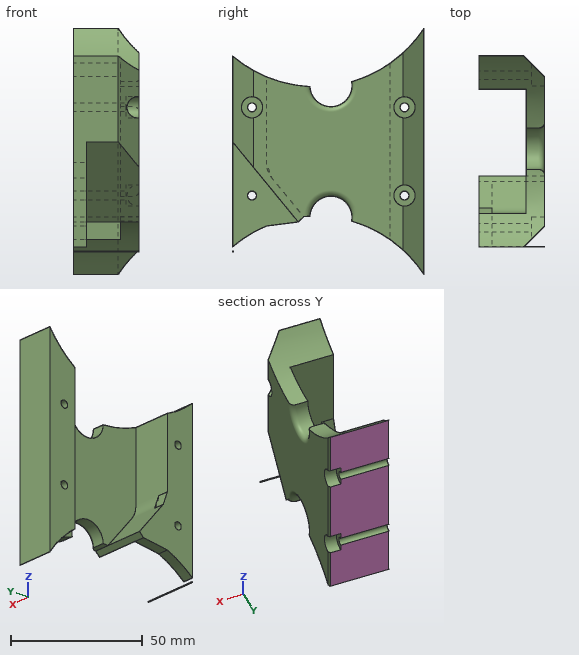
import cadquery as cq
import math

depth = 25.0
width = 72.7
height = 93.6

flange_width = 12.8
web_thickness = 7.0
edge_chamfer = 8.0
web_inner_x = depth - web_thickness

end_arc_radius = 48.95
end_arc_y = 31.7
end_arc_z = height / 2 + math.sqrt(end_arc_radius**2 - (width - end_arc_y) ** 2)

notch_radius = 8.0
notch_y = width / 2 + 1.0
notch_z = 25.0
notch_rim_radius = 2.15

hole_diameter = 3.3
hole_edge_distance = 7.4
hole_z = 16.75
counterbore_diameter = 8.05
counterbore_floor_x = 20.0

plate_thickness = 5.0
slant_slope = 1.22
slant_under_z = 3.65
slant_top_z = 8.1
slant_end_top_y = 27.05
slant_end_under_y = 25.0

corner_fillet_y = 14.9

strip_size = 0.3
strip_z = -38.0


def slant_top(y):
    return slant_top_z - slant_slope * y


def slant_under(y):
    return slant_under_z - slant_slope * y


def end_arc_height(y):
    """Height of the upper end arc at the given Y."""
    return end_arc_z - math.sqrt(end_arc_radius**2 - (y - end_arc_y) ** 2)


def extrude_yz(points, x_start, x_end):
    """Prism along X with the given (Y, Z) outline."""
    return cq.Workplane("YZ", origin=(x_start, 0, 0)).polyline(points).close().extrude(x_end - x_start)


def x_cylinder(y, z, diameter, x_start=0.0):
    """Cylinder along X that reaches the outer face."""
    return cq.Workplane("YZ", origin=(x_start, y, z)).circle(diameter / 2).extrude(depth - x_start)


def make_envelope():
    """Full-height block with the two outer long edges chamfered."""
    block = cq.Workplane("XY").box(depth, width, height, centered=(False, False, True))
    return block.edges("|Z and >X").chamfer(edge_chamfer)


def make_channel(envelope):
    """C-shaped channel with concave ends."""
    channel_gap = cq.Workplane("XY").box(
        web_inner_x, width - 2 * flange_width, height, centered=(False, False, True)
    )
    channel = envelope.cut(channel_gap.translate((0, flange_width, 0)))
    for side in (-1, 1):
        channel = channel.cut(x_cylinder(end_arc_y, side * end_arc_z, 2 * end_arc_radius))
    return channel


def make_notch(side):
    """Notch cutter that flares out at the outer face of the web by a rounded rim."""
    bore_end_x = depth - notch_rim_radius
    rim_mouth = notch_radius + notch_rim_radius
    arc_offset = notch_rim_radius * math.sqrt(0.5)
    profile = (
        cq.Workplane("XY")
        .moveTo(web_inner_x, 0)
        .lineTo(web_inner_x, notch_radius)
        .lineTo(bore_end_x, notch_radius)
        .threePointArc((bore_end_x + arc_offset, rim_mouth - arc_offset), (depth, rim_mouth))
        .lineTo(depth, 0)
        .close()
    )
    cutter = profile.revolve(360, (0, 0, 0), (1, 0, 0))
    return cutter.translate((0, notch_y, side * notch_z))


def cut_lower_corner(channel):
    """Clear the space under the slanted wall, leaving the flange plate."""
    clearance = extrude_yz(
        [
            (0, slant_under(0)),
            (slant_end_under_y, slant_under(slant_end_under_y)),
            (slant_end_under_y, -height / 2),
            (0, -height / 2),
        ],
        plate_thickness,
        depth,
    )
    return channel.cut(clearance)


def make_slanted_wall(envelope):
    """Slanted wall across the full depth, trimmed to the chamfered envelope."""
    wall = extrude_yz(
        [
            (0, slant_top(0)),
            (slant_end_top_y, slant_top(slant_end_top_y)),
            (slant_end_under_y, slant_under(slant_end_under_y)),
            (0, slant_under(0)),
        ],
        0,
        depth,
    )
    return wall.intersect(envelope)


def corner_fillet_top():
    """Height where the corner fillet meets the flange, at equal tangent lengths from the corner."""
    tangent_length = (corner_fillet_y - flange_width) * math.hypot(1, slant_slope)
    return slant_top(flange_width) + tangent_length


def corner_fillet_sagitta():
    """Depth of the tangent arc below its chord, from the angle the arc turns through."""
    turn_angle = math.pi / 2 - math.atan(slant_slope)
    chord = math.hypot(
        corner_fillet_y - flange_width, corner_fillet_top() - slant_top(corner_fillet_y)
    )
    return chord / 2 * math.tan(turn_angle / 4)


def make_corner_fillet():
    """Concave fillet that blends the flange into the top of the slanted wall."""
    return (
        cq.Workplane("YZ", origin=(plate_thickness, 0, 0))
        .moveTo(corner_fillet_y, slant_top(corner_fillet_y))
        .lineTo(flange_width, slant_top(flange_width))
        .lineTo(flange_width, corner_fillet_top())
        .sagittaArc((corner_fillet_y, slant_top(corner_fillet_y)), -corner_fillet_sagitta())
        .close()
        .extrude(web_inner_x - plate_thickness)
    )


def make_lug():
    """Flat plate that joins the flange to the slanted wall."""
    return extrude_yz(
        [
            (flange_width, corner_fillet_top()),
            (corner_fillet_y, slant_top(corner_fillet_y)),
            (slant_end_top_y, slant_top(slant_end_top_y)),
            (slant_end_under_y, slant_under(slant_end_under_y)),
            (flange_width, -end_arc_height(flange_width)),
        ],
        0,
        plate_thickness,
    )


def make_bracket():
    envelope = make_envelope()
    bracket = cut_lower_corner(make_channel(envelope))
    bracket = bracket.union(make_slanted_wall(envelope)).union(make_corner_fillet())
    bracket = bracket.union(make_lug())
    for side in (-1, 1):
        bracket = bracket.cut(make_notch(side))
        for hole_y in (hole_edge_distance, width - hole_edge_distance):
            bracket = bracket.cut(x_cylinder(hole_y, side * hole_z, hole_diameter))
            bracket = bracket.cut(
                x_cylinder(hole_y, side * hole_z, counterbore_diameter, counterbore_floor_x)
            )
    return bracket


def make_strip():
    """Thin strip parallel to X, separate from the bracket."""
    strip = cq.Workplane("XY").box(depth, strip_size, strip_size, centered=(False, False, True))
    return strip.translate((0, 0, strip_z))


bracket = make_bracket()
strip = make_strip()
result = cq.Compound.makeCompound([bracket.solids().val(), strip.val()])